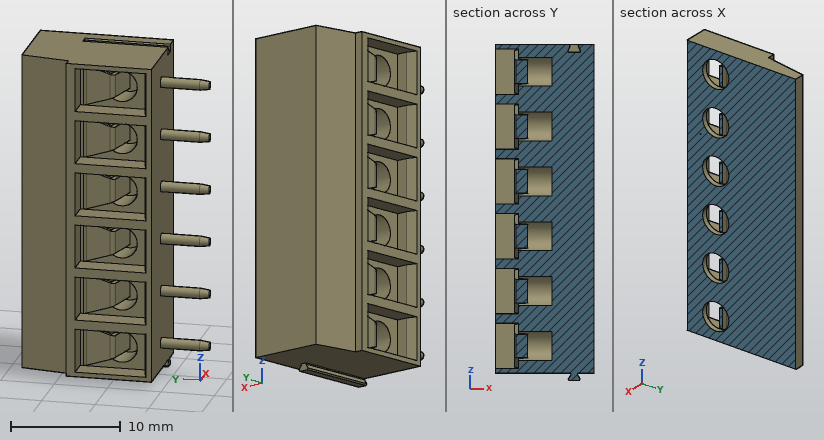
import cadquery as cq
import math


way_count = 6
pitch = 5.0
body_width = 9.0
body_depth = 12.5
overall_height = 30.68
body_height = way_count * pitch
entry_depth = 7.98
shoulder_width = 0.8
slope_end_x = 1.53

dovetail_x = 7.18
rail_height = overall_height - body_height
rail_neck_length = 0.12
rail_neck_half = 0.3
rail_head_half = 0.55
rail_foot_half = 0.45
rail_foot_bevel = 0.15
groove_mouth_half = 0.45
groove_neck_half = 0.37
groove_neck_depth = 0.15
groove_floor_half = 0.55
groove_lip = 0.12
groove_depth = 0.7

pin_x = 4.08
pin_radius = 0.5
pin_tip_radius = 0.37
pin_tip_length = 0.85
pin_length = 4.5

pocket_height = 4.1
pocket_depth = 2.1
pocket_y_max = 7.15
pocket_y_min = 0.83
lead_in_width = 0.3
lead_in_depth = 0.98

hole_y = 3.28
hole_radius = 1.47
hole_depth = 3.07

blade_thickness = 0.37
blade_front_x = pocket_depth - blade_thickness
blade_top_y = 6.85
blade_top_half_height = 2.0
bend_y = 4.3
bend_radius = 0.45
leg_tilt = 15
leg_half_height = 1.05
leg_end_y = 3.13


def arc_point(center_x, center_y, radius, angle):
    """Point at the given angle on a circle."""
    direction = math.radians(angle)
    return center_x + radius * math.cos(direction), center_y + radius * math.sin(direction)


def make_housing():
    return (
        cq.Workplane("XY")
        .polyline([
            (0, 0),
            (body_width, 0),
            (body_width, body_depth),
            (slope_end_x, body_depth),
            (shoulder_width, entry_depth),
            (0, entry_depth),
        ])
        .close()
        .extrude(body_height)
    )


def make_dovetail(half_outline, top_z):
    """Bar along Y from (half width, depth below top_z) pairs, mirrored about its centre line."""
    right_side = [(dovetail_x + half, top_z - depth) for half, depth in half_outline]
    left_side = [(dovetail_x - half, top_z - depth) for half, depth in reversed(half_outline)]
    return cq.Workplane("XZ").polyline(right_side + left_side).close().extrude(-entry_depth)


def make_rail():
    return make_dovetail(
        [
            (rail_neck_half, 0),
            (rail_neck_half, rail_neck_length),
            (rail_head_half, rail_height - rail_foot_bevel),
            (rail_foot_half, rail_height),
        ],
        0,
    )


def make_groove():
    return make_dovetail(
        [
            (groove_mouth_half, 0),
            (groove_neck_half, groove_neck_depth),
            (groove_floor_half, groove_depth - groove_lip),
            (groove_floor_half, groove_depth),
        ],
        body_height,
    )


def make_pin(z):
    shank = (
        cq.Workplane("XZ", origin=(pin_x, 0, z))
        .circle(pin_radius)
        .extrude(pin_length - pin_tip_length)
    )
    tip_taper = math.degrees(math.atan2(pin_radius - pin_tip_radius, pin_tip_length))
    return shank.faces("<Y").workplane().circle(pin_radius).extrude(pin_tip_length, taper=tip_taper)


def make_pocket(z):
    """Pocket and clamp hole of one way, as a cutter."""
    pocket = (
        cq.Workplane("XY", origin=(0, 0, z))
        .polyline([
            (0, pocket_y_min - lead_in_width),
            (lead_in_depth, pocket_y_min),
            (pocket_depth, pocket_y_min),
            (pocket_depth, pocket_y_max),
            (0, pocket_y_max),
        ])
        .close()
        .extrude(pocket_height / 2, both=True)
    )
    hole = (
        cq.Workplane("YZ", origin=(pocket_depth, hole_y, z))
        .circle(hole_radius)
        .extrude(hole_depth)
    )
    return pocket.union(hole)


def make_blade(z):
    """Bent strip of constant thickness, narrowing in Z from its top to the leg."""
    round_y = blade_top_y - blade_thickness
    bend_x = blade_front_x + bend_radius
    inner_radius = bend_radius - blade_thickness
    bend_end_angle = 270 - leg_tilt
    bend_middle_angle = (180 + bend_end_angle) / 2
    leg_start_x, leg_start_y = arc_point(bend_x, bend_y, bend_radius, bend_end_angle)
    leg_end_x = leg_start_x + (leg_start_y - leg_end_y) / math.tan(math.radians(leg_tilt))
    leg_rise = blade_thickness / math.cos(math.radians(leg_tilt))
    profile = (
        cq.Workplane("XY", origin=(0, 0, z))
        .moveTo(pocket_depth, blade_top_y)
        .threePointArc(
            arc_point(pocket_depth, round_y, blade_thickness, 135),
            (blade_front_x, round_y),
        )
        .lineTo(blade_front_x, bend_y)
        .threePointArc(
            arc_point(bend_x, bend_y, bend_radius, bend_middle_angle),
            (leg_start_x, leg_start_y),
        )
        .lineTo(leg_end_x, leg_end_y)
        .lineTo(leg_end_x, leg_end_y + leg_rise)
        .lineTo(*arc_point(bend_x, bend_y, inner_radius, bend_end_angle))
        .threePointArc(
            arc_point(bend_x, bend_y, inner_radius, bend_middle_angle),
            (pocket_depth, bend_y),
        )
        .close()
        .extrude(pocket_height / 2, both=True)
    )
    taper_outline = (
        cq.Workplane("YZ", origin=(0, 0, z))
        .polyline([
            (leg_end_y, -leg_half_height),
            (leg_start_y, -leg_half_height),
            (blade_top_y, -blade_top_half_height),
            (blade_top_y, blade_top_half_height),
            (leg_start_y, leg_half_height),
            (leg_end_y, leg_half_height),
        ])
        .close()
        .extrude(pocket_depth + hole_depth)
    )
    return profile.intersect(taper_outline)


result = make_housing().cut(make_groove()).union(make_rail())
for way in range(way_count):
    way_z = (way + 0.5) * pitch
    result = result.cut(make_pocket(way_z)).union(make_blade(way_z)).union(make_pin(way_z))